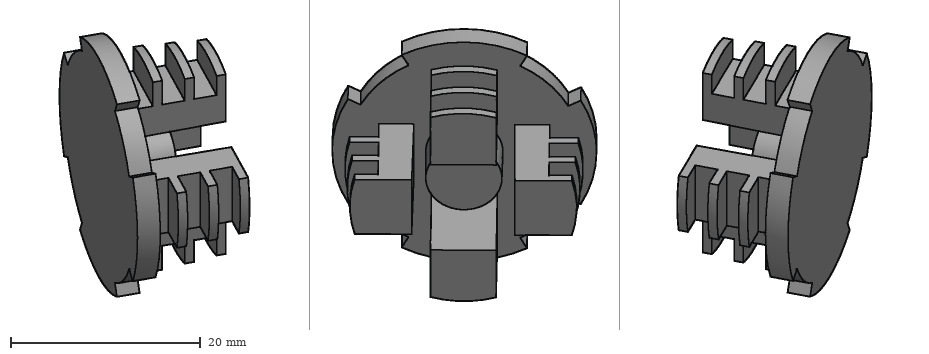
import cadquery as cq
import math

total_depth = 13.0
plate_radius = 13.95
plate_thickness = 2.5
quarter_turns = (0, 90, 180, 270)

notch_floor_radius = 12.43
notch_half_angle = 16.7
notch_clearance = 2.8

leg_width = 6.95
leg_outer = 9.0
leg_inner_root = 5.33
leg_inner_tip = 5.45

fin_radii = (12.55, 12.27, 11.95)
fin_thickness = 1.03
fin_pitch = 3.5

boss_root_radius = 4.07
boss_tip_radius = 4.01
boss_height = 5.0


def polar(radius, angle):
    """Point at a radius and an angle in degrees."""
    return (
        radius * math.cos(math.radians(angle)),
        radius * math.sin(math.radians(angle)),
    )


def make_plate():
    """Plate extruded along local Z, with four sector notches."""
    plate = cq.Workplane("XY").circle(plate_radius).extrude(plate_thickness)
    cut_radius = plate_radius + notch_clearance
    start_angle = 45 - notch_half_angle
    end_angle = 45 + notch_half_angle
    notch = (
        cq.Workplane("XY")
        .moveTo(*polar(notch_floor_radius, start_angle))
        .lineTo(*polar(cut_radius, start_angle))
        .threePointArc(polar(cut_radius, 45), polar(cut_radius, end_angle))
        .lineTo(*polar(notch_floor_radius, end_angle))
        .threePointArc(polar(notch_floor_radius, 45), polar(notch_floor_radius, start_angle))
        .close()
        .extrude(plate_thickness)
    )
    for angle in quarter_turns:
        plate = plate.cut(notch.rotate((0, 0, 0), (0, 0, 1), angle))
    return plate


def make_fin(index, radius):
    """Fin with a round outer edge concentric with the plate."""
    fins_beyond = len(fin_radii) - 1 - index
    base = total_depth - fin_thickness - fins_beyond * fin_pitch
    disc = cq.Workplane("XY").workplane(offset=base).circle(radius).extrude(fin_thickness)
    start = (leg_inner_tip + leg_outer) / 2
    strip = (
        cq.Workplane("XY")
        .workplane(offset=base)
        .center((start + radius) / 2, 0)
        .rect(radius - start, leg_width)
        .extrude(fin_thickness)
    )
    return disc.intersect(strip)


def make_leg():
    """Leg on the +X side, tapered on its inner face, with its fins."""
    leg = (
        cq.Workplane("XZ")
        .polyline([
            (leg_inner_root, plate_thickness),
            (leg_outer, plate_thickness),
            (leg_outer, total_depth),
            (leg_inner_tip, total_depth),
        ])
        .close()
        .extrude(leg_width / 2, both=True)
    )
    for index, radius in enumerate(fin_radii):
        leg = leg.union(make_fin(index, radius))
    return leg


def make_boss():
    """Conical boss standing at the centre of the plate."""
    return cq.Workplane("XY").add(
        cq.Solid.makeCone(
            boss_root_radius,
            boss_tip_radius,
            boss_height,
            pnt=cq.Vector(0, 0, plate_thickness),
        )
    )


part = make_plate().union(make_boss())
leg = make_leg()
for angle in quarter_turns:
    part = part.union(leg.rotate((0, 0, 0), (0, 0, 1), angle))

result = part.rotate((0, 0, 0), (1, 0, 0), -90).translate((0, -total_depth / 2, 0))